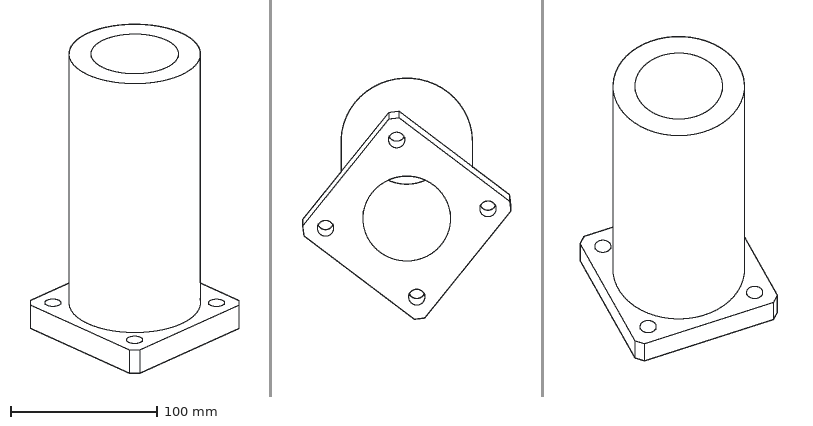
import cadquery as cq

total_height = 209.0
flange_side = 106.0
flange_thickness = 18.0
corner_chamfer = 5.0

tube_diameter = 90.0
bore_diameter = 60.0

hole_diameter = 11.0
hole_spacing = 79.2


def make_flange():
    """Square flange with chamfered corners, standing on Z = 0."""
    plate = cq.Workplane("XY").rect(flange_side, flange_side).extrude(flange_thickness)
    return plate.edges("|Z").chamfer(corner_chamfer)


def make_tube_body():
    """Solid cylinder over the full height, before boring."""
    return cq.Workplane("XY").circle(tube_diameter / 2).extrude(total_height)


def make_bore():
    """Cutter for the bore through the whole part."""
    return cq.Workplane("XY").circle(bore_diameter / 2).extrude(total_height)


def make_mounting_holes():
    """Cutters for the four holes through the flange corners."""
    return (
        cq.Workplane("XY")
        .rect(hole_spacing, hole_spacing, forConstruction=True)
        .vertices()
        .circle(hole_diameter / 2)
        .extrude(flange_thickness)
    )


result = make_flange().union(make_tube_body()).cut(make_bore()).cut(make_mounting_holes())